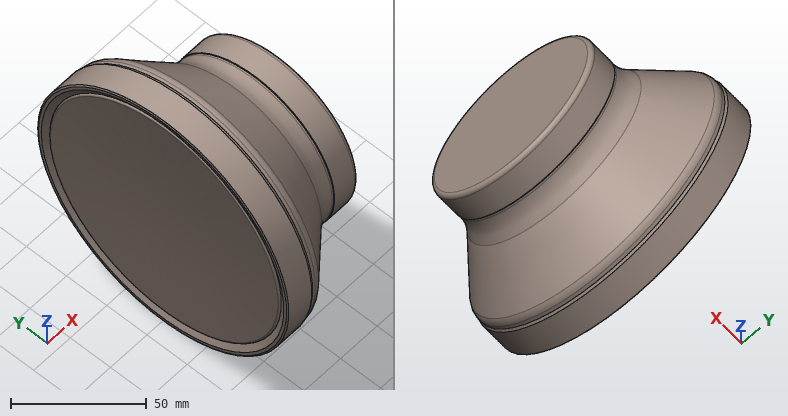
import cadquery as cq
import math


length = 63.0
flange_radius = 62.5
flange_end = 12.9
front_bevel_width = 0.4
front_bevel_height = 0.7
rear_bevel_width = 1.1

shoulder_radius = 123.8 / 2
shoulder_end = 15.5
taper_angle = math.radians(40)
shoulder_round = 4.7
neck_round = 15.0
neck_radius = 79.6 / 2
neck_round_end = 49.0

collar_radius = 80.0 / 2
collar_start = 50.1
collar_step_width = 0.2
collar_round = 1.9

mouth_radius = 60.4
lens_radius = 57.5
seat_bevel_depth = 1.7
lens_thickness = 5.0
lens_edge_round = 0.9
lens_edge_x = seat_bevel_depth
lens_face_x = lens_edge_x - lens_edge_round
lens_dish_depth = 1.9
lens_back_x = lens_edge_x + lens_thickness


def arc_point(center_x, center_radius, radius, angle):
    """Point on an arc, with the angle measured from the +radial direction towards +X."""
    return (center_x + radius * math.sin(angle), center_radius + radius * math.cos(angle))


def revolve_about_x(profile):
    return profile.close().revolve(360, (0, 0, 0), (1, 0, 0))


def make_housing():
    shoulder_center = shoulder_radius - shoulder_round
    shoulder_mid = arc_point(shoulder_end, shoulder_center, shoulder_round, taper_angle / 2)
    taper_start = arc_point(shoulder_end, shoulder_center, shoulder_round, taper_angle)
    neck_center = neck_radius + neck_round
    taper_end = arc_point(neck_round_end, neck_center, -neck_round, taper_angle)
    neck_mid = arc_point(neck_round_end, neck_center, -neck_round, taper_angle / 2)
    collar_center_x = length - collar_round
    collar_center_radius = collar_radius - collar_round
    collar_mid = arc_point(collar_center_x, collar_center_radius, collar_round, math.radians(45))

    profile = (
        cq.Workplane("XY")
        .moveTo(lens_back_x, 0)
        .lineTo(lens_back_x, lens_radius)
        .lineTo(seat_bevel_depth, lens_radius)
        .lineTo(0, mouth_radius)
        .lineTo(0, flange_radius - front_bevel_height)
        .lineTo(front_bevel_width, flange_radius)
        .lineTo(flange_end, flange_radius)
        .lineTo(flange_end + rear_bevel_width, shoulder_radius)
        .lineTo(shoulder_end, shoulder_radius)
        .threePointArc(shoulder_mid, taper_start)
        .lineTo(*taper_end)
        .threePointArc(neck_mid, (neck_round_end, neck_radius))
        .lineTo(collar_start - collar_step_width, neck_radius)
        .lineTo(collar_start, collar_radius)
        .lineTo(collar_center_x, collar_radius)
        .threePointArc(collar_mid, (length, collar_center_radius))
        .lineTo(length, 0)
    )
    return revolve_about_x(profile)


def make_lens():
    face_radius = lens_radius - lens_edge_round
    dish_radius = (face_radius**2 + lens_dish_depth**2) / (2 * lens_dish_depth)
    dish_bottom_x = lens_face_x + lens_dish_depth
    dish_mid_radius = face_radius / 2
    dish_mid_x = dish_bottom_x - dish_radius + math.sqrt(dish_radius**2 - dish_mid_radius**2)
    edge_mid = arc_point(lens_edge_x, face_radius, lens_edge_round, math.radians(-45))

    profile = (
        cq.Workplane("XY")
        .moveTo(dish_bottom_x, 0)
        .threePointArc((dish_mid_x, dish_mid_radius), (lens_face_x, face_radius))
        .threePointArc(edge_mid, (lens_edge_x, lens_radius))
        .lineTo(lens_back_x, lens_radius)
        .lineTo(lens_back_x, 0)
    )
    return revolve_about_x(profile)


housing = make_housing()
lens = make_lens()
result = cq.Compound.makeCompound([housing.val(), lens.val()])